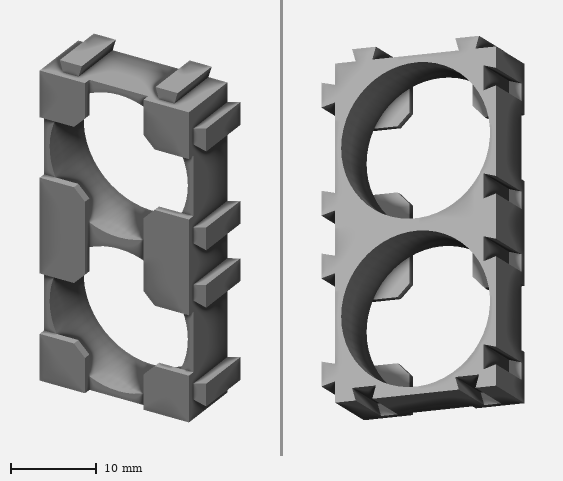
import cadquery as cq

bore_diameter = 18.75
side_wall = 0.75
cell_pitch = bore_diameter + 2 * side_wall
frame_width = cell_pitch
frame_height = 40.8
frame_depth = 7.7
cell_offsets = (-cell_pitch / 2, cell_pitch / 2)

pad_thickness = 1.0
pad_size = 6.15
pad_chamfer = 1.5
pad_opening = frame_width - 2 * pad_size
middle_pad_height = frame_height - 2 * pad_size - 2 * pad_opening

dovetail_spacing = 13.0
dovetail_inset = (frame_width - dovetail_spacing) / 2
dovetail_neck = 2.1
dovetail_head = 3.0
top_tab_height = 1.5
side_tab_height = 1.75
groove_depth = 1.55

half_width = frame_width / 2
half_height = frame_height / 2
dovetail_x = (-dovetail_spacing / 2, dovetail_spacing / 2)
lower_pair_z = (-half_height + dovetail_inset, -half_height + dovetail_inset + dovetail_spacing)
dovetail_z = lower_pair_z + tuple(-z for z in lower_pair_z)


def make_frame():
    """Rectangular block with one through bore per cell."""
    block = cq.Workplane("XY").box(frame_width, frame_depth, frame_height, centered=(True, False, True))
    bores = (
        cq.Workplane("XZ")
        .pushPoints([(0, z) for z in cell_offsets])
        .circle(bore_diameter / 2)
        .extrude(-frame_depth)
    )
    return block.cut(bores)


def make_pad(side, center_z, height, chamfered_edges):
    """Pad on the left (side = -1) or right (side = 1), chamfered on its inner corners."""
    pad = cq.Workplane("XY").box(pad_size, pad_thickness, height)
    inner_face = ">X" if side < 0 else "<X"
    inner_corners = pad.faces(inner_face).edges(chamfered_edges)
    pad = inner_corners.chamfer(pad_chamfer)
    return pad.translate((side * (half_width - pad_size / 2), -pad_thickness / 2, center_z))


def make_dovetail(height):
    """Dovetail bar along Y: neck at Z = 0 and wider head at Z = height."""
    return (
        cq.Workplane("XZ")
        .moveTo(-dovetail_neck / 2, 0)
        .lineTo(dovetail_neck / 2, 0)
        .lineTo(dovetail_head / 2, height)
        .lineTo(-dovetail_head / 2, height)
        .close()
        .extrude(-frame_depth)
    )


def turn_to_right(bar):
    """Turn an upward-pointing bar so that its head points along +X."""
    return bar.rotate((0, 0, 0), (0, 1, 0), 90)


def add_pads(body):
    end_pad_z = half_height - pad_size / 2
    for side in (-1, 1):
        body = body.union(make_pad(side, end_pad_z, pad_size, "<Z"))
        body = body.union(make_pad(side, 0, middle_pad_height, "<Z or >Z"))
        body = body.union(make_pad(side, -end_pad_z, pad_size, ">Z"))
    return body


def add_tabs(body):
    """Dovetail tabs on the top (+Z) and right (+X) sides."""
    top_tab = make_dovetail(top_tab_height)
    side_tab = turn_to_right(make_dovetail(side_tab_height))
    for x in dovetail_x:
        body = body.union(top_tab.translate((x, 0, half_height)))
    for z in dovetail_z:
        body = body.union(side_tab.translate((half_width, 0, z)))
    return body


def cut_grooves(body):
    """Matching grooves in the bottom (-Z) and left (-X) sides, closed at the front by the pads."""
    groove = make_dovetail(groove_depth)
    side_groove = turn_to_right(groove)
    for x in dovetail_x:
        body = body.cut(groove.translate((x, 0, -half_height)))
    for z in dovetail_z:
        body = body.cut(side_groove.translate((-half_width, 0, z)))
    return body


result = cut_grooves(add_tabs(add_pads(make_frame())))